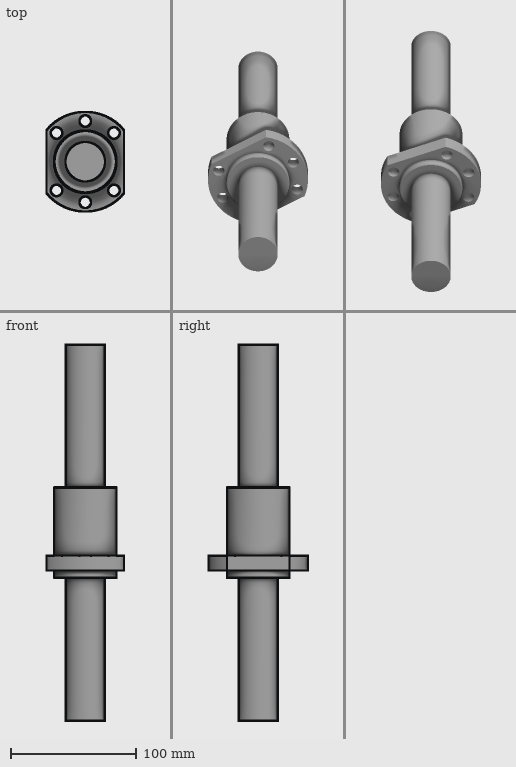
import cadquery as cq

shaft_length = 300.0
shaft_diameter = 31.5

nut_length = 72.5
nut_diameter = 50.0
nut_edge_chamfer = 0.5
nut_bottom = -nut_length / 2

flange_diameter = 79.8
flange_width = 62.0
flange_thickness = 12.0
flange_offset = 6.0
flange_bottom = nut_bottom + flange_offset

bolt_circle_radius = 32.5
bolt_hole_diameter = 9.0
bolt_hole_step = 45.0
bolt_hole_angles = [
    side + turn * bolt_hole_step for side in (90.0, 270.0) for turn in (-1, 0, 1)
]


def make_shaft():
    return (
        cq.Workplane("XY")
        .circle(shaft_diameter / 2)
        .extrude(shaft_length / 2, both=True)
    )


def make_flange():
    disc = cq.Workplane("XY").circle(flange_diameter / 2).extrude(flange_thickness)
    flats = cq.Workplane("XY").rect(flange_width, flange_diameter).extrude(flange_thickness)
    flange = disc.intersect(flats)
    for angle in bolt_hole_angles:
        hole = (
            cq.Workplane("XY")
            .polarArray(bolt_circle_radius, angle, 0, 1)
            .circle(bolt_hole_diameter / 2)
            .extrude(flange_thickness)
        )
        flange = flange.cut(hole)
    return flange.translate((0, 0, flange_bottom))


def make_nut():
    barrel = (
        cq.Workplane("XY", origin=(0, 0, nut_bottom))
        .circle(nut_diameter / 2)
        .extrude(nut_length)
        .edges("%CIRCLE")
        .chamfer(nut_edge_chamfer)
    )
    bore = (
        cq.Workplane("XY", origin=(0, 0, nut_bottom))
        .circle(shaft_diameter / 2)
        .extrude(nut_length)
    )
    return barrel.union(make_flange()).cut(bore)


shaft = make_shaft()
nut = make_nut()
result = cq.Compound.makeCompound([shaft.val(), nut.val()])